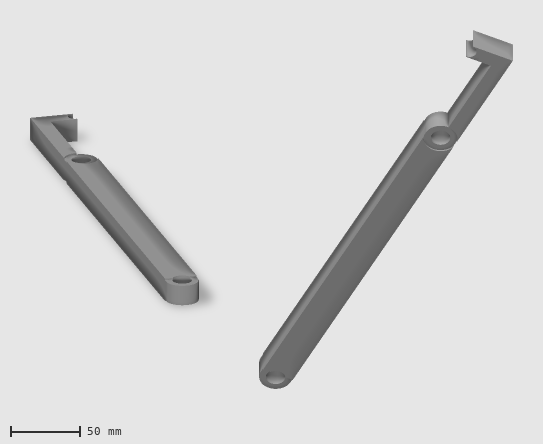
import cadquery as cq

length = 372.5
depth = 32.0
thickness = 17.0

bar_width = 24.0
end_radius = bar_width / 2
bar_mid_y = bar_width / 2
pivot_x = 93.0
tip_x = length - end_radius

arm_width = bar_width / 2
hook_width = 11.5
notch_radius = 5.2

hole_diameter = 14.0
relief_depth = 1.0
pivot_relief_radius = 12.3
tip_relief_x = 356.8


def block(x, y, z, size_x, size_y, size_z):
    """Box with its lowest corner at (x, y, z)."""
    return cq.Workplane("XY").box(size_x, size_y, size_z, centered=False).translate((x, y, z))


def make_bar():
    """Straight bar rounded at the pivot and at the tip."""
    return (
        cq.Workplane("XY")
        .center((pivot_x + tip_x) / 2, bar_mid_y)
        .slot2D(tip_x - pivot_x + bar_width, bar_width)
        .extrude(thickness)
    )


def make_arm():
    """L-shaped arm whose hook ends in a round notch."""
    arm = block(0, 0, 0, pivot_x, arm_width, thickness)
    hook = block(0, 0, 0, hook_width, depth, thickness)
    notch = (
        cq.Workplane("XY")
        .center(hook_width / 2, depth)
        .circle(notch_radius)
        .extrude(thickness)
    )
    return arm.union(hook).cut(notch)


def make_relief(z):
    """Shallow cuts around the pivot and across the tip, starting at height z."""
    pivot_relief = (
        cq.Workplane("XY", origin=(pivot_x, bar_mid_y, z))
        .circle(pivot_relief_radius)
        .extrude(relief_depth)
    )
    tip_relief = block(tip_relief_x, 0, z, length - tip_relief_x, bar_width, relief_depth)
    return pivot_relief.union(tip_relief)


body = make_bar().union(make_arm())

for relief_z in (0, thickness - relief_depth):
    body = body.cut(make_relief(relief_z))

holes = (
    cq.Workplane("XY")
    .pushPoints([(pivot_x, bar_mid_y), (tip_x, bar_mid_y)])
    .circle(hole_diameter / 2)
    .extrude(thickness)
)

result = body.cut(holes)